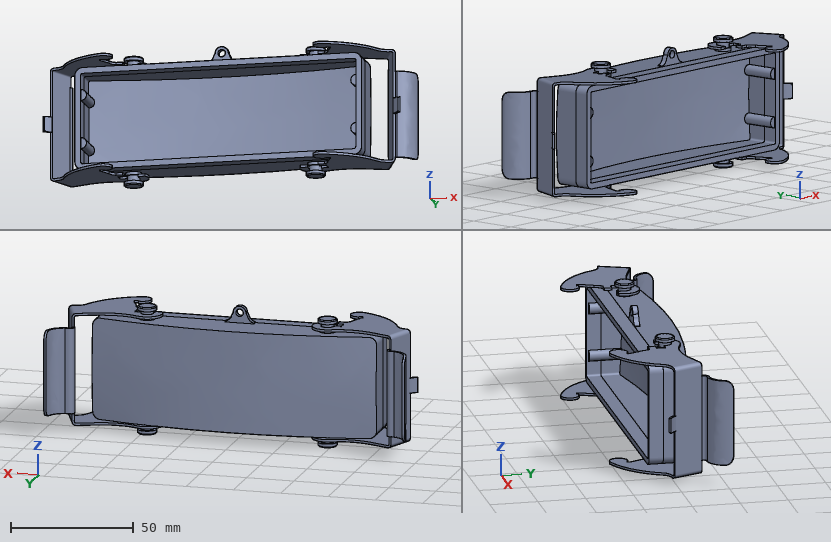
import cadquery as cq
import math


half_length = 60.0
half_height = 21.3
wall = 2.5
corner_radius = 3.4
rim_depth = 6.0
crown_y = 22.5
dome_end_y = 15.4
end_bulge = 1.0
middle_bulge = 0.03

rib_radius = 2.3
rib_z = 10.0
rib_front_y = 0.8

eyelet_hole_diameter = 3.0
eyelet_z = 25.6
eyelet_radius = 2.7
eyelet_waist_x = 3.4
eyelet_waist_z = 24.5
eyelet_flare = (4.4, 22.5)
eyelet_foot = (6.1, 21.7)
eyelet_thickness = 2.3

pin_x = 38.1
pin_y = 11.5
pin_diameter = 5.2
pin_radius = pin_diameter / 2
pin_collar_diameter = 6.5
pin_head_diameter = 8.0
pin_head_thickness = 1.7
pin_head_chamfer = 0.5
pin_end_z = 26.8

root_z = half_height - wall / 2

sheet = 1.0
lever_half_height = 23.6
lever_inner_z = lever_half_height - sheet
bend_radius = 1.7
web_top = (-67.4, 20.5)
web_bottom = (-72.3, 8.1)
web_overlap = 0.5
lobe_radius = 6.3
lobe_start_x = -39.6
lobe_middle_x = -33.0
lobe_end = (-32.6, 8.0)
notch_x = -43.6
step_x = -40.9
hook_x = -45.9
hook_y = -9.6
hook_radius = 3.8

handle_half_height = 18.0
handle_corner_radius = 3.8
handle_tip = (-75.73, 31.7)
handle_curl_y = 30.2
handle_neck_y = 22.7
handle_neck_start_x = -69.5
handle_neck_end_x = -68.2
handle_bend = (-66.8, 22.0)
tab_half_height = 3.2
tab_corner_radius = 1.0
tab_tip = (-74.4, 5.5)
tab_bend = (-72.7, 7.0)


def prism(outline, bottom_z, top_z):
    """Extrude a closed XY outline between two heights."""
    return outline.extrude(top_z - bottom_z).translate((0, 0, bottom_z))


def rounded_block(inset, depth):
    """Block from the rim plane back, with the cover's rounded section drawn in by the inset."""
    return (
        cq.Workplane("XZ")
        .rect(2 * (half_length - inset), 2 * (half_height - inset))
        .extrude(-depth)
        .edges("|Y")
        .fillet(corner_radius - inset)
    )


def dome_section(x, edge_y, bulge):
    """Closed section at one X, flat in front and arched behind."""
    return (
        cq.Workplane("YZ", origin=(x, 0, 0))
        .moveTo(0, -half_height)
        .lineTo(edge_y, -half_height)
        .threePointArc((edge_y + bulge, 0), (edge_y, half_height))
        .lineTo(0, half_height)
        .close()
        .val()
    )


def domed_block(inset):
    """Rounded block from the rim plane to the dome, drawn in by the inset."""
    sections = [
        dome_section(-half_length, dome_end_y - inset, end_bulge),
        dome_section(0, crown_y - inset, middle_bulge),
        dome_section(half_length, dome_end_y - inset, end_bulge),
    ]
    dome = cq.Workplane(cq.Solid.makeLoft(sections))
    return rounded_block(inset, crown_y + end_bulge).intersect(dome)




def make_rib(x, z):
    """Round bar along Y, half of it buried in the end wall."""
    bar = cq.Workplane("XZ", origin=(x, rib_front_y, z)).circle(rib_radius)
    return bar.extrude(rib_front_y - crown_y)


def make_eyelet():
    """Pierced lug just behind the rim frame, flaring into the upper wall."""
    flare_x, flare_z = eyelet_flare
    foot_x, foot_z = eyelet_foot
    plane = cq.Workplane("XZ", origin=(0, rim_depth, 0))
    plate = (
        plane.moveTo(-foot_x, root_z)
        .lineTo(-foot_x, foot_z)
        .threePointArc((-flare_x, flare_z), (-eyelet_waist_x, eyelet_waist_z))
        .lineTo(-eyelet_radius, eyelet_z)
        .threePointArc((0, eyelet_z + eyelet_radius), (eyelet_radius, eyelet_z))
        .lineTo(eyelet_waist_x, eyelet_waist_z)
        .threePointArc((flare_x, flare_z), (foot_x, foot_z))
        .lineTo(foot_x, root_z)
        .close()
        .extrude(-eyelet_thickness)
    )
    hole = plane.center(0, eyelet_z).circle(eyelet_hole_diameter / 2).extrude(-eyelet_thickness)
    return plate.cut(hole)


def make_pin(x):
    """Pin on the upper wall: collar under the lever, shank and chamfered head."""
    head_z = pin_end_z - pin_head_thickness
    center = cq.Workplane("XY").center(x, pin_y)
    collar = prism(center.circle(pin_collar_diameter / 2), root_z, lever_inner_z)
    shank = prism(center.circle(pin_radius), root_z, head_z)
    head = prism(center.circle(pin_head_diameter / 2), head_z, pin_end_z)
    return collar.union(shank).union(head.faces(">Z").chamfer(pin_head_chamfer))


def make_shell():
    """Domed shell behind the rim frame, with its ribs, pins and eyelet."""
    cavity = domed_block(wall)
    shell = domed_block(0).cut(cavity).cut(rounded_block(0, rim_depth))
    for x in (-half_length + wall, half_length - wall):
        for z in (-rib_z, rib_z):
            shell = shell.union(make_rib(x, z).intersect(cavity))
    for x in (-pin_x, pin_x):
        pin = make_pin(x)
        shell = shell.union(pin).union(pin.mirror("XY"))
    return shell.union(make_eyelet())




def make_frame():
    """Plain rectangular ring that carries the open rim."""
    return rounded_block(0, rim_depth).cut(rounded_block(wall, rim_depth))




def lobe_point(x):
    """Point at one X on the back of the lobe around the pin."""
    return (x, pin_y + math.sqrt(lobe_radius**2 - (x + pin_x) ** 2))


def lever_outline():
    """Side plate outline, from the web along the back to the pin, then by the hook to the web."""
    return (
        cq.Workplane("XY")
        .moveTo(*web_top)
        .lineTo(-57.6, 16.6)
        .threePointArc((-49.4, 15.2), (-44.0, 15.9))
        .lineTo(*lobe_point(lobe_start_x))
        .threePointArc(lobe_point(lobe_middle_x), lobe_end)
        .lineTo(-pin_x + pin_radius, lobe_end[1])
        .lineTo(-pin_x + pin_radius, pin_y)
        .threePointArc((-pin_x, pin_y + pin_radius), (-pin_x - pin_radius, pin_y))
        .lineTo(-pin_x - pin_radius, 10.5)
        .lineTo(notch_x, 10.5)
        .lineTo(notch_x, 6.9)
        .lineTo(step_x, 6.9)
        .lineTo(step_x, 3.7)
        .lineTo(-43.8, 3.7)
        .threePointArc((-45.0, 2.6), (-45.7, 0.5))
        .lineTo(-48.2, -5.0)
        .threePointArc((-47.9, -6.4), (-46.5, hook_y + hook_radius))
        .threePointArc((hook_x + hook_radius, hook_y), (hook_x, hook_y - hook_radius))
        .lineTo(-47.3, -13.1)
        .threePointArc((-58.7, -6.0), (-66.0, 4.9))
        .threePointArc((-67.8, 6.7), (-70.5, 7.5))
        .lineTo(*web_bottom)
        .close()
    )


web_bottom_point = cq.Vector(*web_bottom)
web_top_point = cq.Vector(*web_top)
web_length = (web_top_point - web_bottom_point).Length
web_along = (web_top_point - web_bottom_point).normalized()
web_inward = cq.Vector(web_along.y, -web_along.x)
web_middle = web_inward * (sheet / 2)


def web_block(offset, half_width, edge_radius):
    """Long block parallel to the web, starting at an offset from its outer face, edges rounded."""
    reach = 61.0
    plane = cq.Plane(origin=web_bottom_point - web_along * reach, xDir=web_inward, normal=web_along)
    return (
        cq.Workplane(plane)
        .center(offset + reach / 2, 0)
        .rect(reach, 2 * half_width)
        .extrude(web_length + 2 * reach)
        .edges(cq.selectors.ParallelDirSelector(web_along))
        .fillet(edge_radius)
    )


def make_bracket():
    """U-shaped bracket: the web and the two side plates bent from it."""
    blank = prism(lever_outline(), -lever_half_height, lever_half_height)
    blank = blank.intersect(web_block(0, lever_half_height, bend_radius))
    return blank.cut(web_block(sheet, lever_inner_z, bend_radius - sheet))


def strip(path, half_width):
    """Strip of sheet that follows an XY path."""
    wire = path.val()
    plane = cq.Plane(origin=wire.startPoint(), xDir=(0, 0, 1), normal=wire.tangentAt(0))
    return cq.Workplane(plane).rect(2 * half_width, sheet).sweep(path)


def rounded_end(end_y, direction, half_width, radius):
    """Block across the lever that rounds off the corners of a strip ending at one Y."""
    reach = 30.5
    return (
        cq.Workplane("YZ", origin=(-half_length - reach, 0, 0))
        .center(end_y + direction * reach / 2, 0)
        .rect(reach, 2 * half_width)
        .extrude(reach)
        .edges("|X")
        .fillet(radius)
    )


def make_handle():
    """Curled grip running outward from the back end of the web."""
    joint = web_top_point + web_middle - web_along * web_overlap
    path = (
        cq.Workplane("XY")
        .moveTo(*handle_tip)
        .lineTo(handle_tip[0], handle_curl_y)
        .tangentArcPoint((handle_neck_start_x, handle_neck_y), relative=False)
        .lineTo(handle_neck_end_x, handle_neck_y)
        .threePointArc(handle_bend, (joint.x, joint.y))
        .wire()
    )
    trim = rounded_end(handle_tip[1], -1, handle_half_height, handle_corner_radius)
    return strip(path, handle_half_height).intersect(trim)


def make_tab():
    """Short tab turned outward from the front end of the web."""
    joint = web_bottom_point + web_middle + web_along * web_overlap
    path = (
        cq.Workplane("XY")
        .moveTo(*tab_tip)
        .lineTo(*tab_bend)
        .tangentArcPoint((joint.x, joint.y), relative=False)
        .wire()
    )
    trim = rounded_end(tab_tip[1] - sheet / 2, 1, tab_half_height, tab_corner_radius)
    return strip(path, tab_half_height).intersect(trim)


def make_lever():
    """Left lever, one piece of bent sheet."""
    return make_bracket().union(make_handle()).union(make_tab())


shell = make_shell()
frame = make_frame()
left_lever = make_lever()
right_lever = left_lever.mirror("YZ")

result = cq.Compound.makeCompound([shell.val(), frame.val(), left_lever.val(), right_lever.val()])